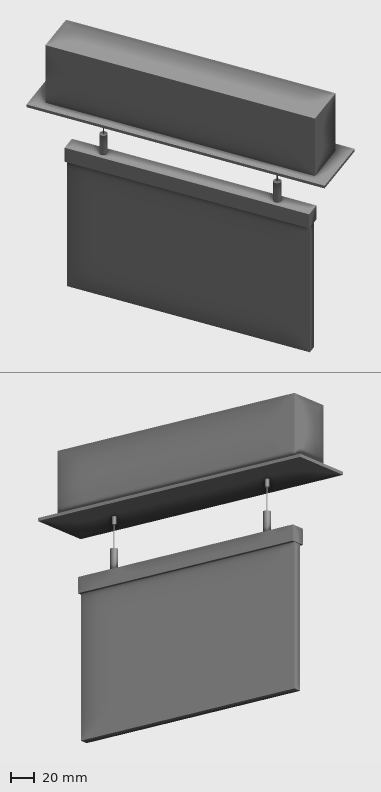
import cadquery as cq

plate_length = 279.0
plate_width = 59.7
plate_thickness = 2.8

housing_length = 252.0
housing_width = 41.0
housing_height = 59.7

suspension_spacing = 162.5
suspension_offset = -0.1
ferrule_diameter = 4.0
ferrule_height = 7.0
wire_diameter = 1.0
wire_height = 22.0
grip_diameter = 7.0
grip_height = 20.0

rail_length = 228.7
rail_width = 14.5
rail_height = 14.5
panel_length = 227.0
panel_thickness = 8.0
total_height = 257.1

plate_top = total_height - housing_height
plate_bottom = plate_top - plate_thickness
ferrule_bottom = plate_bottom - ferrule_height
grip_top = ferrule_bottom - wire_height
rail_top = grip_top - grip_height
panel_height = rail_top - rail_height


def block(length, width, height, bottom):
    """Box centred on the Z axis, standing on the given level."""
    return (
        cq.Workplane("XY")
        .workplane(offset=bottom)
        .box(length, width, height, centered=(True, True, False))
    )


def rod(x, diameter, height, bottom):
    """Vertical cylinder at the given X, standing on the given level."""
    return (
        cq.Workplane("XY")
        .workplane(offset=bottom)
        .center(x, 0)
        .circle(diameter / 2)
        .extrude(height)
    )


def suspension(x):
    """Grip, wire and ferrule joining the rail to the plate."""
    grip = rod(x, grip_diameter, grip_height, rail_top)
    wire = rod(x, wire_diameter, wire_height, grip_top)
    ferrule = rod(x, ferrule_diameter, ferrule_height, ferrule_bottom)
    return grip.union(wire).union(ferrule)


panel = block(panel_length, panel_thickness, panel_height, 0)
rail = block(rail_length, rail_width, rail_height, panel_height)
plate = block(plate_length, plate_width, plate_thickness, plate_bottom)
housing = block(housing_length, housing_width, housing_height, plate_top)

result = panel.union(rail).union(plate).union(housing)
for side in (-1, 1):
    result = result.union(suspension(suspension_offset + side * suspension_spacing / 2))